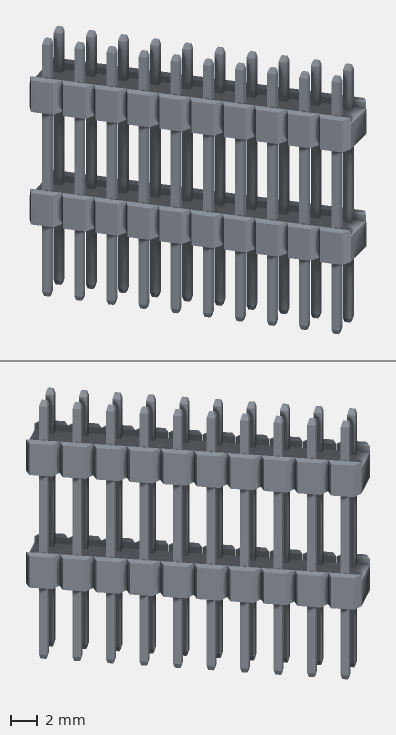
import cadquery as cq


columns = 10
rows = 2
pitch = 2.55

pin_side = 0.64
pin_length = 20.5
tip_length = 0.35
tip_inset = 0.1

strip_length = columns * pitch
strip_width = 5.0
strip_height = 2.51
floor_width = 3.38
floor_drop = 0.5
tooth_face = 1.75
tooth_gap = 0.015
strip_spacing = 9.0
pin_tail = 6.0

tooth_root = pitch - tooth_gap
tooth_depth = (strip_width - floor_width) / 2
pin_bottom = -pin_length / 2
lower_strip_bottom = pin_bottom + pin_tail
strip_bottoms = [lower_strip_bottom, lower_strip_bottom + strip_spacing]


def column_x(column):
    return (column - (columns - 1) / 2) * pitch


def row_y(row):
    return (row - (rows - 1) / 2) * pitch


def make_tooth(x, side):
    """Full-height tapered tooth on the +Y (side = 1) or -Y (side = -1) edge."""
    root_y = side * floor_width / 2
    face_y = root_y + side * tooth_depth
    return (
        cq.Workplane("XY")
        .polyline([
            (x - tooth_root / 2, root_y),
            (x + tooth_root / 2, root_y),
            (x + tooth_face / 2, face_y),
            (x - tooth_face / 2, face_y),
        ])
        .close()
        .extrude(strip_height)
    )


def make_strip():
    """Flat floor with a row of taller teeth along both long edges, base at Z = 0."""
    strip = cq.Workplane("XY").box(
        strip_length, floor_width, strip_height - floor_drop, centered=(True, True, False)
    )
    for column in range(columns):
        for side in (-1, 1):
            strip = strip.union(make_tooth(column_x(column), side))
    return strip


def make_pin():
    """Square pin with a tapered tip at each end, centred on the origin."""
    shank_end = pin_length / 2 - tip_length
    tip_side = pin_side - 2 * tip_inset
    tip = (
        cq.Workplane("XY", origin=(0, 0, shank_end))
        .rect(pin_side, pin_side)
        .workplane(offset=tip_length)
        .rect(tip_side, tip_side)
        .loft(ruled=True)
    )
    shank = cq.Workplane("XY").box(pin_side, pin_side, 2 * shank_end)
    return shank.union(tip).union(tip.mirror("XY"))


strip = make_strip()
pin = make_pin()

result = strip.translate((0, 0, strip_bottoms[0]))
for bottom in strip_bottoms[1:]:
    result = result.union(strip.translate((0, 0, bottom)))
for column in range(columns):
    for row in range(rows):
        result = result.union(pin.translate((column_x(column), row_y(row), 0)))